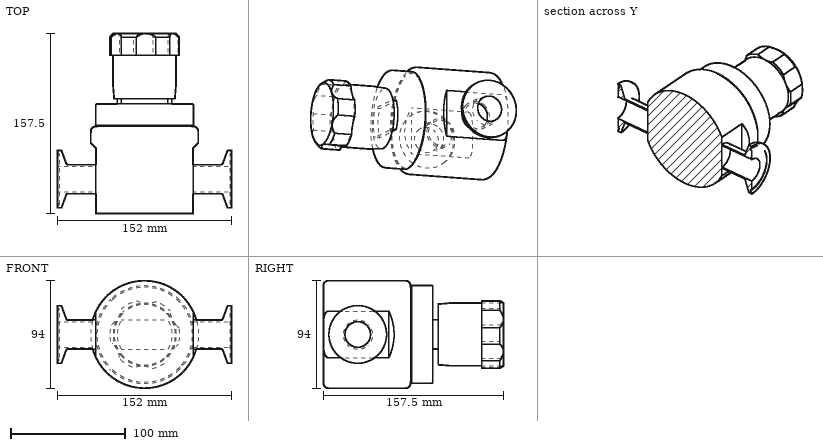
import cadquery as cq
import math


body_diameter = 94.0
body_radius = body_diameter / 2
body_length = 76.2
body_fillet = 4.4
flat_offset = 42.4
flat_length = 57.2

neck_radius = 41.5
neck_length = 0.8
ring_start = body_length + neck_length
ring_end = 95.7
ring_radius = 42.8
ring_fillet = 1.4

stem_radius = 24.0
stem_thickness = 25.8

knob_start = 100.2
taper_end = 111.5
grip_start = 138.3
knob_end = 157.5
taper_radius = 26.6
sleeve_radius = 27.5
grip_radius = 30.4
grip_chamfer_length = 3.3
grip_chamfer_depth = 3.0
scallop_count = 6
scallop_half_angle = math.radians(16)
scallop_floor_radius = sleeve_radius
knob_turn = 2.5

port_y = 30.0
port_reach = 76.0
tube_radius = 12.8
bore_radius = 11.2
flange_radius = 25.2
flange_edge = 3.6
flange_slope = math.radians(20)
flange_fillet = 1.1

groove_radius = 22.0
groove_round = 0.6
groove_half_width = 1.5
groove_wall_angle = math.radians(30)


def disc(radius, start, end):
    """Cylinder on the Y axis between two Y positions."""
    return cq.Workplane("XZ", origin=(0, start, 0)).circle(radius).extrude(start - end)


def make_side_flat():
    """Cutter for the -X flat, closed at the rear by a 45 degree slope."""
    overrun = 7.9
    outer = flat_offset + overrun
    outline = [
        (-flat_offset, -overrun),
        (-flat_offset, flat_length),
        (-outer, flat_length + overrun),
        (-outer, -overrun),
    ]
    return cq.Workplane("XY").polyline(outline).close().extrude(body_radius, both=True)


def make_body():
    body = disc(body_radius, 0, body_length).edges("%CIRCLE").fillet(body_fillet)
    side_flat = make_side_flat()
    return body.cut(side_flat).cut(side_flat.mirror("YZ"))


def make_bonnet():
    neck = disc(neck_radius, body_length, ring_start)
    ring = disc(ring_radius, ring_start, ring_end).edges(">Y").fillet(ring_fillet)
    return neck.union(ring)


def make_stem():
    stem_length = knob_start - ring_end
    middle = (ring_end + knob_start) / 2
    slab = cq.Workplane("XY").box(2 * stem_radius, stem_length, stem_thickness)
    return disc(stem_radius, ring_end, knob_start).intersect(slab.translate((0, middle, 0)))


def make_scallops():
    """Round bars whose sides hollow out the grip, one of them at +Z."""
    half_chord = grip_radius * math.sin(scallop_half_angle)
    depth = grip_radius * math.cos(scallop_half_angle) - scallop_floor_radius
    bar_radius = (half_chord ** 2 + depth ** 2) / (2 * depth)
    return (
        cq.Workplane("XZ", origin=(0, grip_start, 0))
        .polarArray(scallop_floor_radius + bar_radius, 90, 360, scallop_count)
        .circle(bar_radius)
        .extrude(grip_start - knob_end)
    )


def make_knob():
    blank = (
        cq.Workplane("XY")
        .moveTo(0, knob_start)
        .lineTo(taper_radius, knob_start)
        .lineTo(sleeve_radius, taper_end)
        .lineTo(sleeve_radius, grip_start)
        .lineTo(grip_radius, grip_start)
        .lineTo(grip_radius, knob_end - grip_chamfer_length)
        .lineTo(grip_radius - grip_chamfer_depth, knob_end)
        .lineTo(0, knob_end)
        .close()
        .revolve(360, (0, 0, 0), (0, 1, 0))
    )
    return blank.cut(make_scallops()).rotate((0, 0, 0), (0, 1, 0), knob_turn)


def make_groove():
    """Gasket groove cutter on the X axis, its mouth at X = 0, with rounded lips and floor."""
    sin_wall = math.sin(groove_wall_angle)
    cos_wall = math.cos(groove_wall_angle)
    lip_half = groove_half_width - groove_round * cos_wall
    lip_depth = groove_round * (1 - sin_wall)
    floor_half = groove_round * cos_wall
    floor_depth = lip_depth + (lip_half - floor_half) / math.tan(groove_wall_angle)
    bottom = floor_depth + groove_round * (1 - sin_wall)

    lip_turn = (math.pi / 2 - groove_wall_angle) / 2
    mid_half = groove_half_width - groove_round * math.sin(lip_turn)
    mid_depth = groove_round * (1 - math.cos(lip_turn))

    return (
        cq.Workplane("XY")
        .moveTo(0, groove_radius + groove_half_width)
        .threePointArc((mid_depth, groove_radius + mid_half), (lip_depth, groove_radius + lip_half))
        .lineTo(floor_depth, groove_radius + floor_half)
        .threePointArc((bottom, groove_radius), (floor_depth, groove_radius - floor_half))
        .lineTo(lip_depth, groove_radius - lip_half)
        .threePointArc((mid_depth, groove_radius - mid_half), (0, groove_radius - groove_half_width))
        .close()
        .revolve(360, (0, 0, 0), (1, 0, 0))
    )


def make_port():
    """Port on the -X side: tube, conical clamp flange, gasket groove and blind bore."""
    tube_length = port_reach - flat_offset
    cone_end = flange_edge + (flange_radius - tube_radius) * math.tan(flange_slope)
    port = (
        cq.Workplane("XY")
        .lineTo(0, flange_radius)
        .lineTo(flange_edge, flange_radius)
        .lineTo(cone_end, tube_radius)
        .lineTo(tube_length, tube_radius)
        .lineTo(tube_length, 0)
        .close()
        .revolve(360, (0, 0, 0), (1, 0, 0))
    )
    cone_edges = cq.selectors.BoxSelector(
        (flange_edge / 2, -flange_radius, -flange_radius),
        (tube_length / 2, flange_radius, flange_radius),
    )
    port = port.edges("%CIRCLE").edges(cone_edges).fillet(flange_fillet)
    bore = cq.Workplane("YZ").circle(bore_radius).extrude(tube_length)
    return port.cut(make_groove()).cut(bore).translate((-port_reach, port_y, 0))


port = make_port()
result = (
    make_body()
    .union(make_bonnet())
    .union(make_stem())
    .union(make_knob())
    .union(port)
    .union(port.mirror("YZ"))
)